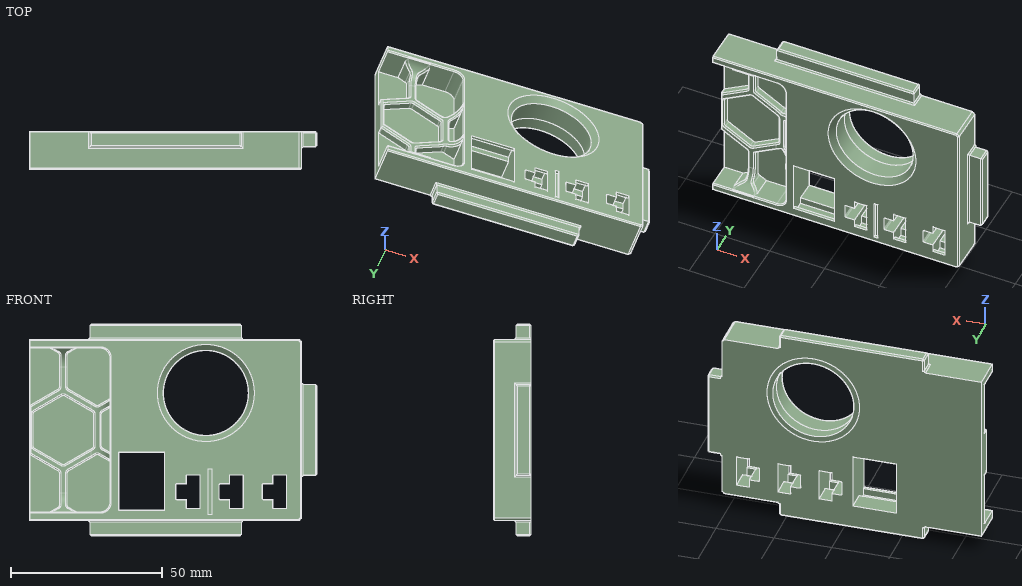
import cadquery as cq
import math

WIDTH = 89.7
DEPTH = 12.4
HEIGHT = 59.8
MID_Z = HEIGHT / 2
FRONT_CHAMFER = 0.4
CORNER_CHAMFER = 0.9

TAB_REACH = 5.0
TAB_THICKNESS = 5.0
TAB_CHAMFER = 0.5
LONG_TAB = 50.0
SHORT_TAB = 30.0
TAB_FOOT = 0.5

POCKET_WIDTH = 26.5
POCKET_WALL = 2.9
POCKET_TOP = HEIGHT - POCKET_WALL
POCKET_CORNER = 3.2
POCKET_CHAMFER = 0.4
FLOOR_Y = DEPTH - 3.4
RIB_TOP_Y = DEPTH - 6.1
COVE_RADIUS = RIB_TOP_Y
CELL_FLAT = 20.0
CELL_GAP = 2.5
CELL_PITCH = CELL_FLAT + CELL_GAP
HONEYCOMB_X = 11.1
RIB_CHAMFER = 0.5
CELL_CORNER = 1.0
SELECT_MARGIN = 0.02

SOCKET_X = 58.1
SOCKET_Z = 42.1
SOCKET_RADIUS = 14.0
SOCKET_CHAMFER = 2.0
RING_LENGTH = 4.1
RING_RADIUS = SOCKET_RADIUS + SOCKET_CHAMFER

LATCH_FRONT = 1.0
LATCH_BACK = 5.6
LATCH_FLOOR_Z = 1.0
USB_X = 29.4
USB_Z = 3.5
USB_WIDTH = 15.0
USB_HEIGHT = 19.0
PLUG_X = 51.7
PLUG_Z = 4.1
PLUG_WIDTH = 4.4
PLUG_HEIGHT = 10.9
PLUG_PITCH = 14.26
PLUG_COUNT = 3
KEY_WIDTH = 3.5
KEY_HEIGHT = 5.2
KEY_CORNER = 0.4

GROOVE_X = 58.85
GROOVE_Z = 2.1
GROOVE_WIDTH = 1.25
GROOVE_HEIGHT = 14.9
GROOVE_DEPTH = 1.0


def block(x, y, z, dx, dy, dz):
    """Box with its lowest corner at x, y, z."""
    return cq.Workplane("XY").box(dx, dy, dz, centered=False).translate((x, y, z))


def at_depth(y):
    """Sketch plane at depth y, facing the front (-Y), with sketch x along X and sketch y along Z."""
    return cq.Workplane("XZ", origin=(0, y, 0))


def make_panel():
    panel = block(0, 0, 0, WIDTH, DEPTH, HEIGHT)
    panel = panel.edges(">X and |Y").chamfer(CORNER_CHAMFER)
    return panel.faces("<Y").edges("not <X").chamfer(FRONT_CHAMFER)


def make_tab(length):
    """Tab standing on Z = 0, centred in X, its back on Y = DEPTH, on a flared foot."""
    tab_front = DEPTH - TAB_THICKNESS
    tab = block(-length / 2, tab_front, -TAB_FOOT, length, TAB_THICKNESS, TAB_REACH + TAB_FOOT)
    tab = tab.edges(">Z or (>Y and |Z)").chamfer(TAB_CHAMFER)
    foot = block(
        -length / 2 - TAB_FOOT,
        tab_front - TAB_FOOT,
        -TAB_FOOT,
        length + 2 * TAB_FOOT,
        TAB_THICKNESS + TAB_FOOT,
        2 * TAB_FOOT,
    )
    foot = foot.faces(">Z").edges("not >Y").chamfer(TAB_FOOT)
    return tab.union(foot)


def add_tabs(panel):
    long_tab = make_tab(LONG_TAB)
    top = long_tab.translate((WIDTH / 2, 0, HEIGHT))
    bottom = long_tab.mirror("XY").translate((WIDTH / 2, 0, 0))
    right = make_tab(SHORT_TAB).rotate((0, 0, 0), (0, 1, 0), 90).translate((WIDTH, 0, MID_Z))
    return panel.union(top).union(bottom).union(right)


def edges_inside(low, high):
    """Selector for edges that lie wholly inside the box between two corners, plus a small margin."""
    low_corner = tuple(value - SELECT_MARGIN for value in low)
    high_corner = tuple(value + SELECT_MARGIN for value in high)
    return cq.selectors.BoxSelector(low_corner, high_corner, boundingbox=True)


def pocket_volume(front, back, overshoot):
    """Square-cornered pocket space between two depths, reaching past the left edge by overshoot."""
    return block(-overshoot, front, POCKET_WALL, POCKET_WIDTH + overshoot, back - front, POCKET_TOP - POCKET_WALL)


def cut_pocket(panel):
    pocket = pocket_volume(0, FLOOR_Y, POCKET_WALL).edges(">X and |Y").fillet(POCKET_CORNER)
    rim = edges_inside((0, 0, POCKET_WALL), (POCKET_WIDTH, 0, POCKET_TOP))
    return panel.cut(pocket).edges(rim).chamfer(POCKET_CHAMFER)


def cut_cells(web):
    """Cut a honeycomb of round-cornered hexagonal cells around one whole cell near the left edge."""
    row_rise = CELL_PITCH * math.sqrt(3) / 2
    cell_diameter = CELL_FLAT / math.cos(math.pi / 6)
    cell = (
        cq.Workplane("XY")
        .polygon(6, cell_diameter)
        .extrude(2 * DEPTH)
        .edges("|Z")
        .fillet(CELL_CORNER)
        .rotate((0, 0, 0), (0, 0, 1), 30)
        .rotate((0, 0, 0), (1, 0, 0), 90)
        .translate((HONEYCOMB_X, FLOOR_Y, MID_Z))
    )
    for row in (-1, 0, 1):
        row_shift = CELL_PITCH / 2 * (row % 2)
        for column in (-1, 0, 1):
            web = web.cut(cell.translate((column * CELL_PITCH + row_shift, 0, row * row_rise)))
    return web


def make_ribs():
    """Honeycomb web whose top rises in a cove to the front edge of the pocket walls."""
    web = pocket_volume(0, FLOOR_Y, 0).edges(">X and |Y").fillet(POCKET_CORNER)
    bowl = pocket_volume(-COVE_RADIUS, RIB_TOP_Y, 2 * COVE_RADIUS)
    bowl = bowl.faces(">Y").edges("not <X").fillet(COVE_RADIUS)
    web = cut_cells(web.cut(bowl))

    cove_x = POCKET_WIDTH - COVE_RADIUS
    low_cove_z = POCKET_WALL + COVE_RADIUS
    high_cove_z = POCKET_TOP - COVE_RADIUS
    rib_edges = edges_inside((0, RIB_TOP_Y - COVE_RADIUS / 3, 0), (POCKET_WIDTH, RIB_TOP_Y, HEIGHT))
    side_start = edges_inside((cove_x, RIB_TOP_Y, 0), (cove_x, RIB_TOP_Y, HEIGHT))
    low_start = edges_inside((0, RIB_TOP_Y, low_cove_z), (POCKET_WIDTH, RIB_TOP_Y, low_cove_z))
    high_start = edges_inside((0, RIB_TOP_Y, high_cove_z), (POCKET_WIDTH, RIB_TOP_Y, high_cove_z))
    return web.edges(rib_edges - side_start - low_start - high_start).chamfer(RIB_CHAMFER)


def cut_socket(panel):
    bore = at_depth(0).center(SOCKET_X, SOCKET_Z).circle(SOCKET_RADIUS).extrude(-DEPTH)
    cone = (
        at_depth(0)
        .center(SOCKET_X, SOCKET_Z)
        .circle(SOCKET_RADIUS + SOCKET_CHAMFER)
        .extrude(-SOCKET_CHAMFER, taper=45)
    )
    seat = at_depth(DEPTH).center(SOCKET_X, SOCKET_Z).circle(RING_RADIUS).extrude(RING_LENGTH)
    return panel.cut(bore).cut(cone).cut(seat)


def latched_opening(x, z, width, height):
    """Through opening with a latch pocket that extends it equally above and below."""
    opening = block(x, 0, z, width, DEPTH, height)
    extension = z - LATCH_FLOOR_Z
    latch = block(x, LATCH_FRONT, LATCH_FLOOR_Z, width, LATCH_BACK - LATCH_FRONT, height + 2 * extension)
    return opening.union(latch)


def cut_connectors(panel):
    panel = panel.cut(latched_opening(USB_X, USB_Z, USB_WIDTH, USB_HEIGHT))
    key_z = PLUG_Z + (PLUG_HEIGHT - KEY_HEIGHT) / 2
    for index in range(PLUG_COUNT):
        x = PLUG_X + index * PLUG_PITCH
        key = block(x - KEY_WIDTH, 0, key_z, KEY_WIDTH, DEPTH, KEY_HEIGHT)
        key = key.edges("<X and |Y").fillet(KEY_CORNER)
        panel = panel.cut(latched_opening(x, PLUG_Z, PLUG_WIDTH, PLUG_HEIGHT)).cut(key)
    return panel.cut(block(GROOVE_X, 0, GROOVE_Z, GROOVE_WIDTH, GROOVE_DEPTH, GROOVE_HEIGHT))


def make_housing():
    housing = add_tabs(cut_pocket(make_panel())).union(make_ribs())
    return cut_connectors(cut_socket(housing))


def make_ring():
    ring = at_depth(DEPTH).center(SOCKET_X, SOCKET_Z).circle(RING_RADIUS).circle(SOCKET_RADIUS)
    return ring.extrude(RING_LENGTH)


housing = make_housing()
ring = make_ring()
result = cq.Compound.makeCompound([housing.val(), ring.val()])